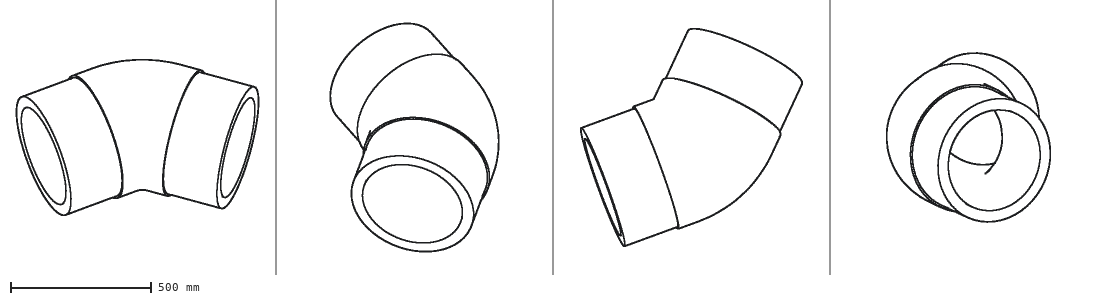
import cadquery as cq
import math

overall_length = 799.0
bend_angle = 45.0
collar_diameter = 465.0
spigot_diameter = 450.0
bore_diameter = 368.0
collar_length = 77.0

angle = math.radians(bend_angle)
inlet_direction = cq.Vector(0, -1, 0)
outlet_direction = cq.Vector(math.sin(angle), math.cos(angle), 0)
arm_directions = [inlet_direction, outlet_direction]


def bend_setback(diameter):
    """Distance from the origin to either end of a bend whose radius is half its diameter."""
    return diameter / 2 * math.tan(angle / 2)


rim_rise = spigot_diameter / 2 * math.sin(angle)
arm_reach = (overall_length - rim_rise) / (1 + math.cos(angle))
collar_reach = bend_setback(collar_diameter) + collar_length


def bend(diameter):
    """Curved round bar whose inside just touches its Z-parallel bend axis."""
    radius = diameter / 2
    return (
        cq.Workplane("XZ", origin=(0, -bend_setback(diameter), 0))
        .circle(radius)
        .revolve(bend_angle, (radius, 0, 0), (radius, -1, 0))
    )


def straight(direction, diameter, start, end):
    """Round bar along an arm, between two distances from the origin."""
    return cq.Workplane(
        cq.Solid.makeCylinder(diameter / 2, end - start, direction * start, direction)
    )


body_start = bend_setback(collar_diameter)
body = bend(collar_diameter)
for direction in arm_directions:
    body = body.union(straight(direction, collar_diameter, body_start, collar_reach))
    body = body.union(straight(direction, spigot_diameter, body_start, arm_reach))

bore_start = bend_setback(bore_diameter)
body = body.cut(bend(bore_diameter))
for direction in arm_directions:
    body = body.cut(straight(direction, bore_diameter, bore_start, arm_reach))

result = body